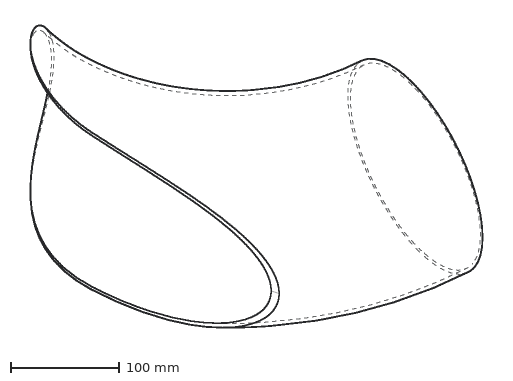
import cadquery as cq

envelope_reach = 414.5
pipe_diameter = 219.5
wall = 4.0
pipe_radius = pipe_diameter / 2
bend_radius = envelope_reach - pipe_radius
sweep_angle = 120.0

blend_x = 180.5
heel_y = -(bend_radius - pipe_radius)


def parabola_y(x):
    """Meeting line of the bend with an equal pipe parallel to X, in the XY plane."""
    return x ** 2 / (4 * bend_radius) - bend_radius


def bent_pipe():
    """Hollow bend about Z, starting on the plane Y = 0 and turning towards -Y."""
    return (
        cq.Workplane("XZ")
        .center(bend_radius, 0)
        .circle(pipe_radius)
        .circle(pipe_radius - wall)
        .revolve(sweep_angle, (-bend_radius, 0), (-bend_radius, -1))
    )


def kept_region():
    """Prism along Z whose lower boundary is the saddle cut."""
    blend_point = (blend_x, parabola_y(blend_x))
    toe_point = (envelope_reach, parabola_y(envelope_reach))
    control_point = (
        (blend_x + envelope_reach) / 2,
        blend_x * envelope_reach / (4 * bend_radius) - bend_radius,
    )
    return (
        cq.Workplane("XY")
        .moveTo(envelope_reach, 0)
        .lineTo(*toe_point)
        .bezier([toe_point, control_point, blend_point])
        .tangentArcPoint((0, heel_y), relative=False)
        .lineTo(0, 0)
        .close()
        .extrude(pipe_diameter, both=True)
    )


result = bent_pipe().intersect(kept_region())